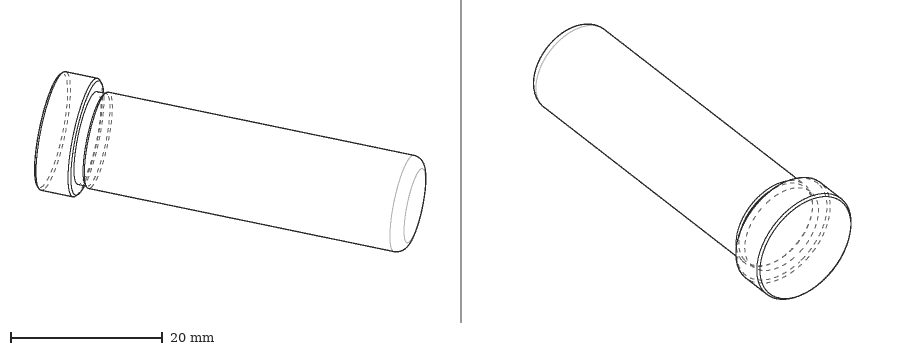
import cadquery as cq

total_length = 50
head_diameter = 16
head_length = 5
head_chamfer = 0.3
shank_diameter = 13
tip_radius = 1.5

neck_diameter = 12.5
neck_end = 6.5
shoulder_chamfer = (shank_diameter - neck_diameter) / 2


def rod(start, end, diameter):
    """Solid cylinder about the X axis between two X positions."""
    return cq.Workplane("YZ", origin=(start, 0, 0)).circle(diameter / 2).extrude(end - start)


head = rod(0, head_length, head_diameter).edges().chamfer(head_chamfer)
neck = rod(head_length, neck_end, neck_diameter)
shank = (
    rod(neck_end - shoulder_chamfer, total_length, shank_diameter)
    .faces("<X").edges().chamfer(shoulder_chamfer)
    .faces(">X").edges().fillet(tip_radius)
)
result = head.union(neck).union(shank)